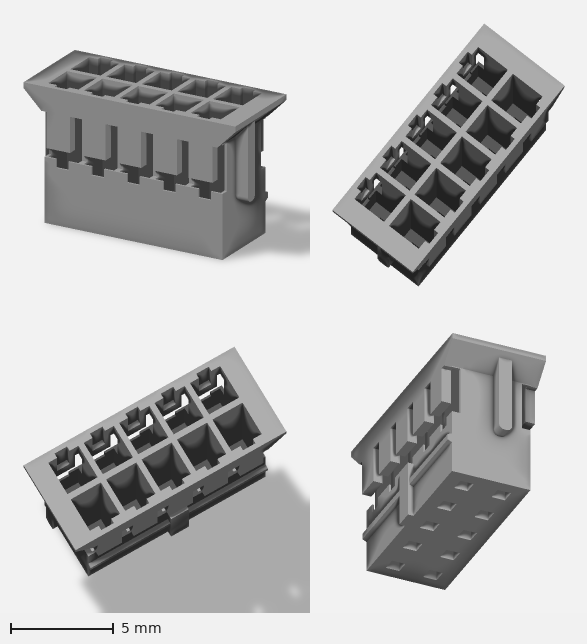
import cadquery as cq

flange_length = 11.9
flange_width = 5.0
height = 7.3

pitch = 2.0
columns = 5
rows = (-1, 1)

body_length = 10.0
body_width = 4.2
shoulder_height = 3.45
neck_width = 3.3

flange_rim = 0.3
flange_depth = 1.3

leg_width = 1.33
leg_thickness = 0.5
leg_bottom = 4.1

cavity_length = 1.7
cavity_inner = 0.15
cavity_outer = 2.0
floor_thickness = 1.0
pin_hole = 0.71
key_width = 0.7
keyway_reach = 2.25
keyway_depth = 2.26
notch_bottom = 3.0

guide_span = 11.36
guide_width = 0.7
guide_offset = -0.45
guide_bottom = 2.65
guide_fillet = 0.3

ridge_height = 0.23
ridge_base = 0.51
ridge_crest = 0.31
ridge_middle = 1.92
key_rib_length = 1.0
key_rib_height = 0.3
key_rib_top = notch_bottom

flange_bottom = height - flange_depth
column_places = [(i - (columns - 1) / 2) * pitch for i in range(columns)]


def block(x_range, y_range, z_range):
    """Axis-aligned box between the given limits."""
    (x0, x1), (y0, y1), (z0, z1) = x_range, y_range, z_range
    return cq.Workplane("XY").box(x1 - x0, y1 - y0, z1 - z0, centered=False).translate((x0, y0, z0))


def centred(size, middle=0.0):
    """Limits of a span of the given size about its middle."""
    return (middle - size / 2, middle + size / 2)


def side_range(side, near, far):
    """Y limits between two distances from the middle plane, on one side."""
    return tuple(sorted((side * near, side * far)))


def make_body():
    """Block with a narrower neck between the shoulder and the flange."""
    lower = block(centred(body_length), centred(body_width), (0, shoulder_height))
    neck = block(centred(body_length), centred(neck_width), (shoulder_height, flange_bottom))
    head = block(centred(body_length), centred(body_width), (flange_bottom, height))
    return lower.union(neck).union(head)


def make_flange():
    """Rim with 45 degree tapers below it at both ends."""
    rim_x = flange_length / 2
    rim_bottom = height - flange_rim
    foot_x = rim_x - (rim_bottom - flange_bottom)
    outline = [
        (-rim_x, height),
        (rim_x, height),
        (rim_x, rim_bottom),
        (foot_x, flange_bottom),
        (-foot_x, flange_bottom),
        (-rim_x, rim_bottom),
    ]
    return cq.Workplane("XZ").polyline(outline).close().extrude(flange_width / 2, both=True)


def make_guides():
    """One bar through the part whose two ends stand out as round-footed ribs."""
    bar = block(
        centred(guide_span),
        centred(guide_width, guide_offset),
        (guide_bottom, height - flange_rim - (flange_length - guide_span) / 2),
    )
    return bar.edges("|X and <Z").fillet(guide_fillet)


def make_leg(x, side):
    y_range = side_range(side, flange_width / 2 - leg_thickness, flange_width / 2)
    return block(centred(leg_width, x), y_range, (leg_bottom, flange_bottom))


def make_ridge():
    """Trapezoidal ridge along the +Y face."""
    face_y = body_width / 2
    outline = [
        (face_y, ridge_middle - ridge_base / 2),
        (face_y + ridge_height, ridge_middle - ridge_crest / 2),
        (face_y + ridge_height, ridge_middle + ridge_crest / 2),
        (face_y, ridge_middle + ridge_base / 2),
    ]
    return cq.Workplane("YZ").polyline(outline).close().extrude(body_length / 2, both=True)


def make_key_rib():
    face_y = body_width / 2
    return block(centred(key_rib_length), (face_y, face_y + key_rib_height), (0, key_rib_top))


def make_cavity(x, side):
    """Cavity with its pin hole, flange keyway and wall notch."""
    pocket = block(
        centred(cavity_length, x),
        side_range(side, cavity_inner, cavity_outer),
        (floor_thickness, height),
    )
    hole = block(
        centred(pin_hole, x),
        centred(pin_hole, side * pitch / 2),
        (0, floor_thickness),
    )
    keyway = block(
        centred(key_width, x),
        side_range(side, cavity_inner, keyway_reach),
        (height - keyway_depth, height),
    )
    notch = block(
        centred(key_width, x),
        side_range(side, cavity_inner, body_width / 2),
        (notch_bottom, shoulder_height),
    )
    return pocket.union(hole).union(keyway).union(notch)


result = make_body().union(make_flange()).union(make_guides())
result = result.union(make_ridge()).union(make_key_rib())
contacts = [(x, side) for side in rows for x in column_places]
for x, side in contacts:
    result = result.union(make_leg(x, side))
for x, side in contacts:
    result = result.cut(make_cavity(x, side))